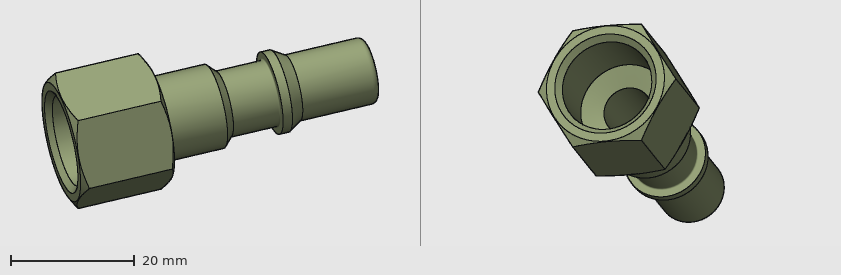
import cadquery as cq
import math

TOTAL_LENGTH = 52.5
HEX_SIDES = 6
HEX_ACROSS_FLATS = 20.0
HEX_LENGTH = 16.0
HEX_CHAMFER_DIAMETER = 19.8
HEX_CHAMFER_ANGLE = 30.0
HEX_CHAMFER_OVERCUT = 1.0

SHOULDER_DIAMETER = 14.0
SHOULDER_LENGTH = 10.0
SHOULDER_TAPER_LENGTH = 1.5

STEM_DIAMETER = 11.0
TIP_FILLET = 1.0
COLLAR_DIAMETER = 13.7
COLLAR_BACK_FROM_TIP = 17.0
COLLAR_RIM_LENGTH = 1.6
COLLAR_TAPER_LENGTH = 2.2
COLLAR_ROOT_FILLET = 0.25

BORE_DIAMETER = 15.0
BORE_MOUTH_DIAMETER = 17.0
BORE_DEPTH = 12.0
BORE_BOTTOM_ANGLE = 136.0
PASSAGE_DIAMETER = 8.0

SHOULDER_TAPER_START = HEX_LENGTH + SHOULDER_LENGTH
SHOULDER_TAPER_END = SHOULDER_TAPER_START + SHOULDER_TAPER_LENGTH
COLLAR_BACK = TOTAL_LENGTH - COLLAR_BACK_FROM_TIP
COLLAR_TAPER_START = COLLAR_BACK + COLLAR_RIM_LENGTH
COLLAR_TAPER_END = COLLAR_TAPER_START + COLLAR_TAPER_LENGTH

HEX_CORNER_RADIUS = HEX_ACROSS_FLATS / 2 / math.cos(math.pi / HEX_SIDES)
HEX_CHAMFER_RADIUS = HEX_CHAMFER_DIAMETER / 2
SHOULDER_RADIUS = SHOULDER_DIAMETER / 2
STEM_RADIUS = STEM_DIAMETER / 2
COLLAR_RADIUS = COLLAR_DIAMETER / 2
BORE_RADIUS = BORE_DIAMETER / 2
BORE_MOUTH_RADIUS = BORE_MOUTH_DIAMETER / 2
PASSAGE_RADIUS = PASSAGE_DIAMETER / 2


def revolve_about_y(profile):
    """Close a (radius, Y) profile and turn it fully around the Y axis."""
    return profile.close().revolve(360, (0, 0, 0), (0, 1, 0))


def make_hexagon():
    """Hexagon with corners on +/-X, its corners turned off conically at both ends."""
    prism = (
        cq.Workplane("XZ")
        .polygon(HEX_SIDES, 2 * HEX_CORNER_RADIUS)
        .extrude(-HEX_LENGTH)
    )
    outer_radius = HEX_CORNER_RADIUS + HEX_CHAMFER_OVERCUT
    cone_height = (outer_radius - HEX_CHAMFER_RADIUS) * math.tan(math.radians(HEX_CHAMFER_ANGLE))
    envelope = revolve_about_y(
        cq.Workplane("ZY")
        .lineTo(HEX_CHAMFER_RADIUS, 0)
        .lineTo(outer_radius, cone_height)
        .lineTo(outer_radius, HEX_LENGTH - cone_height)
        .lineTo(HEX_CHAMFER_RADIUS, HEX_LENGTH)
        .lineTo(0, HEX_LENGTH)
    )
    return prism.intersect(envelope)


def make_plug():
    """Turned shoulder, stem, latching collar and rounded tip."""
    return revolve_about_y(
        cq.Workplane("ZY")
        .lineTo(SHOULDER_RADIUS, 0)
        .lineTo(SHOULDER_RADIUS, SHOULDER_TAPER_START)
        .lineTo(STEM_RADIUS, SHOULDER_TAPER_END)
        .lineTo(STEM_RADIUS, COLLAR_BACK - COLLAR_ROOT_FILLET)
        .radiusArc((STEM_RADIUS + COLLAR_ROOT_FILLET, COLLAR_BACK), COLLAR_ROOT_FILLET)
        .lineTo(COLLAR_RADIUS, COLLAR_BACK)
        .lineTo(COLLAR_RADIUS, COLLAR_TAPER_START)
        .lineTo(STEM_RADIUS, COLLAR_TAPER_END)
        .lineTo(STEM_RADIUS, TOTAL_LENGTH - TIP_FILLET)
        .radiusArc((STEM_RADIUS - TIP_FILLET, TOTAL_LENGTH), -TIP_FILLET)
        .lineTo(0, TOTAL_LENGTH)
    )


def make_bore():
    """Socket with a 45 degree mouth, a shallow conical bottom and the through passage."""
    mouth_depth = BORE_MOUTH_RADIUS - BORE_RADIUS
    half_angle = math.radians(BORE_BOTTOM_ANGLE / 2)
    bottom_depth = (BORE_RADIUS - PASSAGE_RADIUS) / math.tan(half_angle)
    return revolve_about_y(
        cq.Workplane("ZY")
        .lineTo(BORE_MOUTH_RADIUS, 0)
        .lineTo(BORE_RADIUS, mouth_depth)
        .lineTo(BORE_RADIUS, BORE_DEPTH)
        .lineTo(PASSAGE_RADIUS, BORE_DEPTH + bottom_depth)
        .lineTo(PASSAGE_RADIUS, TOTAL_LENGTH)
        .lineTo(0, TOTAL_LENGTH)
    )


fitting = make_hexagon().union(make_plug()).cut(make_bore())

result = fitting.translate((0, -TOTAL_LENGTH / 2, 0))